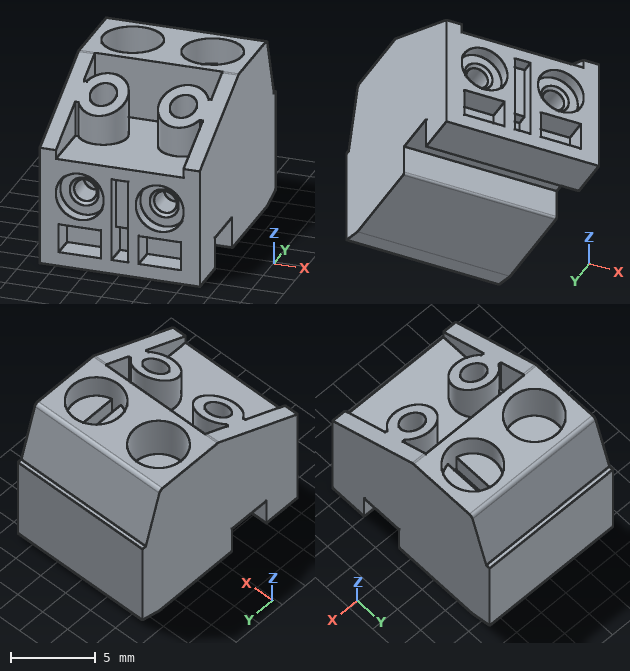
import cadquery as cq

WIDTH = 10.0
DEPTH = 13.5
HEIGHT = 10.8
POLE_OFFSET = WIDTH / 4
POLES = (-POLE_OFFSET, POLE_OFFSET)

FRONT_HEIGHT = 7.5
SLOPE_TOP_Y = 6.9
BACK_TOP_Y = 11.96
LEDGE_Y = 13.2
LEDGE_Z = 6.8
BASE_BEVEL_LENGTH = 1.5
BASE_BEVEL_HEIGHT = 0.4
NOTCH_FRONT_Y = 2.73
NOTCH_BACK_Y = 5.7
NOTCH_HEIGHT = 2.01
TOP_EDGE_RADIUS = 0.3
NOTCH_EDGE_RADIUS = 0.14

SIDE_WALL = 1.01
RECESS_FLOOR_Z = 6.94
RECESS_BACK_Y = 6.94
SLEEVE_Y = 4.2
SLEEVE_DIAMETER = 3.0
SLEEVE_BORE = 1.6
WEB_THICKNESS = 1.5

WELL_Y = 9.4
WELL_DIAMETER = 3.7
WELL_DEPTH = 3.0
SCREW_HEAD_DIAMETER = 3.6
SCREW_HEAD_DEPTH = 1.6
SCREW_SLOT_WIDTH = 0.69

SOCKET_Z = 4.7
COUNTERBORE_DIAMETER = 3.0
COUNTERBORE_DEPTH = 0.8
SOCKET_DIAMETER = 1.4
SOCKET_CHAMFER = 0.2
SOCKET_DEPTH = 2.7

POCKET_BOTTOM_Z = 0.9
POCKET_TOP_Z = 2.71
POCKET_WIDTH = 2.63
POCKET_DEPTH = 1.5
KEYWAY_WIDTH = 1.03
KEYWAY_TOP_Z = 6.14
KEYWAY_DEPTH = 0.8


def box(x_center, x_size, y_range, z_range):
    """Box centred on x_center, spanning the given Y and Z ranges."""
    y_low, y_high = y_range
    z_low, z_high = z_range
    return (
        cq.Workplane("XY", origin=(x_center, y_low, z_low))
        .box(x_size, y_high - y_low, z_high - z_low, centered=(True, False, False))
    )


def upright_cylinder(x, y, diameter, z_low, z_high):
    """Cylinder along Z between two heights."""
    return cq.Workplane("XY", origin=(x, y, z_low)).circle(diameter / 2).extrude(z_high - z_low)


def make_body():
    """Side outline swept across the width, with its small edges rounded."""
    outline = [
        (0, 0),
        (NOTCH_FRONT_Y, 0),
        (NOTCH_FRONT_Y, NOTCH_HEIGHT),
        (NOTCH_BACK_Y, NOTCH_HEIGHT),
        (NOTCH_BACK_Y, 0),
        (DEPTH - BASE_BEVEL_LENGTH, 0),
        (DEPTH, BASE_BEVEL_HEIGHT),
        (DEPTH, LEDGE_Z),
        (LEDGE_Y, LEDGE_Z),
        (BACK_TOP_Y, HEIGHT),
        (SLOPE_TOP_Y, HEIGHT),
        (0, FRONT_HEIGHT),
    ]
    body = cq.Workplane("YZ").polyline(outline).close().extrude(WIDTH / 2, both=True)
    body = body.faces(">Z").edges("|X").fillet(TOP_EDGE_RADIUS)
    notch_edge = cq.selectors.NearestToPointSelector((0, NOTCH_BACK_Y, 0))
    return body.edges(notch_edge).fillet(NOTCH_EDGE_RADIUS)


def make_recess():
    """Open recess between the side walls, leaving out the sleeves and their webs."""
    recess = box(0, WIDTH - 2 * SIDE_WALL, (0, RECESS_BACK_Y), (RECESS_FLOOR_Z, HEIGHT))
    web_range = (SLEEVE_Y - WEB_THICKNESS / 2, SLEEVE_Y + WEB_THICKNESS / 2)
    for x in POLES:
        sleeve = upright_cylinder(x, SLEEVE_Y, SLEEVE_DIAMETER, RECESS_FLOOR_Z, HEIGHT)
        web_outer_x = WIDTH / 2 if x > 0 else -WIDTH / 2
        web = box((x + web_outer_x) / 2, POLE_OFFSET, web_range, (RECESS_FLOOR_Z, HEIGHT))
        recess = recess.cut(sleeve).cut(web)
    return recess


def make_well(x):
    """Plain screw well, open at the top face."""
    return upright_cylinder(x, WELL_Y, WELL_DIAMETER, HEIGHT - WELL_DEPTH, HEIGHT)


def make_well_with_screw(x):
    """Screw well with a slotted screw head standing on its floor."""
    floor_z = HEIGHT - WELL_DEPTH
    head_z = HEIGHT - SCREW_HEAD_DEPTH
    head = upright_cylinder(x, WELL_Y, SCREW_HEAD_DIAMETER, floor_z, head_z)
    slot_y_range = (WELL_Y - WELL_DIAMETER / 2, WELL_Y + WELL_DIAMETER / 2)
    slot = box(x, SCREW_SLOT_WIDTH, slot_y_range, (floor_z, head_z))
    return make_well(x).cut(head.cut(slot))


def make_socket(x):
    """Counterbore, chamfered lead-in and blind bore, turned about an axis along Y."""
    bore_radius = SOCKET_DIAMETER / 2
    counterbore_radius = COUNTERBORE_DIAMETER / 2
    profile = [
        (0, 0),
        (counterbore_radius, 0),
        (counterbore_radius, COUNTERBORE_DEPTH),
        (bore_radius + SOCKET_CHAMFER, COUNTERBORE_DEPTH),
        (bore_radius, COUNTERBORE_DEPTH + SOCKET_CHAMFER),
        (bore_radius, SOCKET_DEPTH),
        (0, SOCKET_DEPTH),
    ]
    plane = cq.Workplane("XY", origin=(x, 0, SOCKET_Z))
    return plane.polyline(profile).close().revolve(360, (0, 0, 0), (0, 1, 0))


def make_keyway():
    """Tall shallow slot between the poles, deeper over the height of the pockets."""
    upper = box(0, KEYWAY_WIDTH, (0, KEYWAY_DEPTH), (POCKET_TOP_Z, KEYWAY_TOP_Z))
    lower = box(0, KEYWAY_WIDTH, (0, POCKET_DEPTH), (POCKET_BOTTOM_Z, POCKET_TOP_Z))
    return upper.union(lower)


result = make_body().cut(make_recess()).cut(make_keyway())
result = result.cut(make_well(-POLE_OFFSET)).cut(make_well_with_screw(POLE_OFFSET))
for pole_x in POLES:
    result = result.cut(upright_cylinder(pole_x, SLEEVE_Y, SLEEVE_BORE, 0, HEIGHT))
    result = result.cut(make_socket(pole_x))
    result = result.cut(box(pole_x, POCKET_WIDTH, (0, POCKET_DEPTH), (POCKET_BOTTOM_Z, POCKET_TOP_Z)))